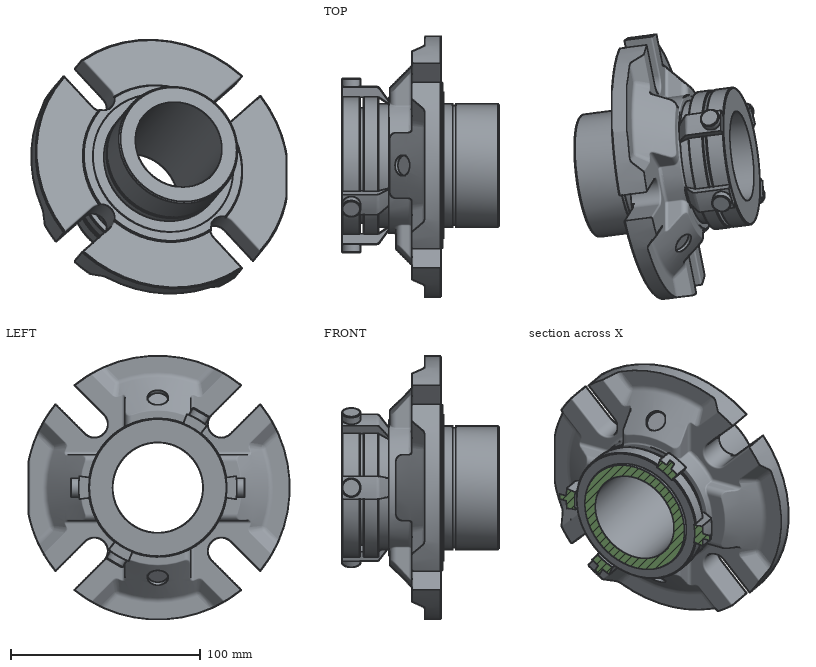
import cadquery as cq
import math


sleeve_length = 83.16
sleeve_radius = 65.4 / 2
bore_radius = 47.62 / 2
sleeve_end_chamfer = 0.8
tail_groove_start, tail_groove_end = 58.6, 60.2
tail_groove_radius = 63.51 / 2

ring_radius = 73.3 / 2
ring_chamfer = 0.5
lock_ring_end = 9.7
second_ring_start, second_ring_end = 11.4, 19.5
ring_gap_radius = 61.01 / 2

flange_radius = 139.45 / 2
flange_back = 52.5
ear_front = 37.0
pocket_floor = 43.8
back_edge_chamfer = 0.6
flat_distance = 138.08 - flange_radius
flat_bevel_radial = 1.0
flat_bevel_axial = 0.3

register_radius = 43.9
register_end = 53.4
register_chamfer = 0.5
spigot_radius = 77.19 / 2
spigot_end = 53.9

hub_front = 24.8
hub_radius = 35.8
hub_edge_fillet = 0.4
cone_offset = 15.6

block_front = 25.3
short_block_front = 28.6
block_fronts = {0: block_front, 90: block_front, 180: short_block_front, 270: block_front}
block_half_width = 17.4
block_edge_fillet = 3.5
block_root_fillet = 1.7
block_hub_fillet = 0.8
block_rim_fillet = 0.8

ear_half_width_front = 17.8
ear_half_width_floor = 24.0
pocket_fillet = 3.6

slot_half_width = 7.05
slot_centre_radius = 47.4
slot_edge_fillet = 0.9
slot_angles = (45, 135, 225, 315)

port_diameter = 11.0
port_centre_x = 32.0
port_depth = 2.2
port_angles = (90, 270)

clip_angles = (0, 120, 180, 300)
clip_inner_radius = 36.4
clip_outer_radius = 41.8
clip_bend_x = 19.3
clip_bend_fillet = 2.0
clip_tip_inner_radius = 32.6
clip_tip_outer_radius = 34.2
clip_outer_width = 12.2
screw_diameter = 10.0
screw_head_radius = 46.0
screw_head_chamfer = 0.4

overshoot = 5.0
clearance_radius = flange_radius + overshoot
margin = 1.0
tolerance = 0.01


def cone_radius(x):
    return x + cone_offset


def revolved(points, degrees=360):
    """Revolve a closed (x, radius) outline about the X axis, starting at +Y."""
    return cq.Workplane("XY").polyline(points).close().revolve(degrees, (0, 0, 0), (1, 0, 0))


def cylinder(radius, start, end):
    return cq.Workplane("YZ").workplane(offset=start).circle(radius).extrude(end - start)


def turned(shape, angle):
    """Turn a shape about X; 0 degrees is +Y and 90 degrees is +Z."""
    return shape.rotate((0, 0, 0), (1, 0, 0), angle)


def make_sleeve():
    lock_ring = cylinder(ring_radius, 0, lock_ring_end).edges().chamfer(ring_chamfer)
    second_ring = cylinder(ring_radius, second_ring_start, second_ring_end)
    second_ring = second_ring.edges().chamfer(ring_chamfer)
    front = cylinder(ring_gap_radius, 0, second_ring_end)
    body = cylinder(sleeve_radius, second_ring_start, tail_groove_start)
    groove = cylinder(tail_groove_radius, tail_groove_start, tail_groove_end)
    tail = cylinder(sleeve_radius, tail_groove_end, sleeve_length)
    tail = tail.faces(">X").edges().chamfer(sleeve_end_chamfer)
    return front.union(lock_ring).union(second_ring).union(body).union(groove).union(tail)


def pocket_triangle(half_width):
    """Corners of the 90 degree opening between two ears, pointing along +Y."""
    apex = half_width * math.sqrt(2)
    reach = flange_radius
    return [(apex, 0), (apex + reach, reach), (apex + reach, -reach)]


def distance_from_axis(edge):
    middle = edge.positionAt(0.5)
    return math.hypot(middle.y, middle.z)


def make_pocket():
    """Space between two ears, bounded by sloping ear sides, the pocket floor and the cone."""
    start = hub_front - margin
    ear_slope = (ear_half_width_floor - ear_half_width_front) / (pocket_floor - ear_front)
    start_half_width = ear_half_width_floor - ear_slope * (pocket_floor - start)
    sector = (
        cq.Workplane("YZ")
        .workplane(offset=start)
        .polyline(pocket_triangle(start_half_width))
        .close()
        .workplane(offset=pocket_floor - start)
        .polyline(pocket_triangle(ear_half_width_floor))
        .close()
        .loft(ruled=True)
    )
    ring = revolved([
        (start, cone_radius(start)),
        (pocket_floor, cone_radius(pocket_floor)),
        (pocket_floor, clearance_radius),
        (start, clearance_radius),
    ])

    def is_inside_corner(edge):
        return edge.Center().x > start + margin and distance_from_axis(edge) < clearance_radius - margin

    pocket = sector.intersect(ring)
    return pocket.newObject(pocket.edges().filter(is_inside_corner).vals()).fillet(pocket_fillet)


def make_slab(front):
    """Slab along +Y with rounded front edges; it sets the sides of one port block."""
    return (
        cq.Workplane("XY")
        .box(ear_front - front, clearance_radius, 2 * block_half_width, centered=(False, False, True))
        .translate((front, 0, 0))
        .faces("<X")
        .edges("|Y")
        .fillet(block_edge_fillet)
    )


def make_hub():
    return cylinder(hub_radius, hub_front, ear_front).faces("<X").edges().fillet(hub_edge_fillet)


def make_corner_space():
    """Open space ahead of the ears, around the hub and between the port blocks."""
    space = cylinder(clearance_radius, hub_front, ear_front).cut(make_hub())
    for angle, front in block_fronts.items():
        space = space.cut(turned(make_slab(front), angle))

    def is_hub_corner(edge):
        middle = edge.positionAt(0.5)
        on_wall = abs(min(abs(middle.y), abs(middle.z)) - block_half_width) < tolerance
        return on_wall and abs(distance_from_axis(edge) - hub_radius) < tolerance

    space = space.newObject(space.edges("|X").filter(is_hub_corner).vals()).fillet(block_hub_fillet)

    def is_root(edge):
        return distance_from_axis(edge) < clearance_radius - margin

    return space.newObject(space.faces(">X").edges().filter(is_root).vals()).fillet(block_root_fillet)


def make_slot():
    length = clearance_radius - slot_centre_radius
    straight = (
        cq.Workplane("YZ")
        .workplane(offset=ear_front)
        .center(slot_centre_radius + length / 2, 0)
        .rect(length, 2 * slot_half_width)
        .extrude(spigot_end - ear_front)
    )
    end = cylinder(slot_half_width, ear_front, spigot_end).translate((0, slot_centre_radius, 0))
    return straight.union(end)


def cut_flat(flange):
    """Flat on the +Y side of the flange rim with a shallow bevel on its front edge."""
    cutter = (
        cq.Workplane("XY")
        .polyline([
            (pocket_floor, flat_distance - flat_bevel_radial),
            (pocket_floor + flat_bevel_axial, flat_distance),
            (flange_back, flat_distance),
            (flange_back, clearance_radius),
            (pocket_floor, clearance_radius),
        ])
        .close()
        .extrude(flange_radius / 2, both=True)
    )
    return flange.cut(cutter)


def round_block_rims(flange):
    """Round the edges where the conical faces meet the fronts and sides of the blocks."""
    def is_rim(edge):
        x = edge.positionAt(0.5).x
        on_cone = abs(distance_from_axis(edge) - cone_radius(x)) < tolerance
        return on_cone and x < ear_front - block_root_fillet

    return flange.newObject(flange.edges().filter(is_rim).vals()).fillet(block_rim_fillet)


def make_flange():
    flange = revolved([
        (hub_front, 0),
        (hub_front, flange_radius),
        (flange_back - back_edge_chamfer, flange_radius),
        (flange_back, flange_radius - back_edge_chamfer),
        (flange_back, 0),
    ])
    pocket = make_pocket()
    for angle in block_fronts:
        flange = flange.cut(turned(pocket, angle))
    flange = round_block_rims(flange.cut(make_corner_space()))
    return cut_flat(flange).union(make_register())


def cut_slots(flange):
    """Cut the bolt slots and round their edges on the front and back faces."""
    slot = make_slot()
    for angle in slot_angles:
        flange = flange.cut(turned(slot, angle))

    def is_slot_edge(edge):
        middle = edge.positionAt(0.5)
        along = (abs(middle.y) + abs(middle.z)) / math.sqrt(2)
        across = abs(abs(middle.y) - abs(middle.z)) / math.sqrt(2)
        is_side = along > slot_centre_radius and abs(across - slot_half_width) < tolerance
        is_end = abs(along - slot_centre_radius + slot_half_width) < tolerance
        is_face_edge = min(abs(middle.x - ear_front), abs(middle.x - flange_back)) < tolerance
        return is_face_edge and (is_side or is_end)

    return flange.newObject(flange.edges().filter(is_slot_edge).vals()).fillet(slot_edge_fillet)


def cut_ports(flange):
    """Blind holes drilled at 45 degrees, square to the conical faces of the blocks."""
    inward = cq.Vector(1, -1, 0).normalized()
    mouth = cq.Vector(port_centre_x, cone_radius(port_centre_x), 0)
    drill = cq.Workplane(cq.Solid.makeCylinder(
        port_diameter / 2, overshoot + port_depth, mouth - inward * overshoot, inward
    ))
    for angle in port_angles:
        flange = flange.cut(turned(drill, angle))
    return flange


def make_register():
    step = cylinder(register_radius, flange_back, register_end)
    step = step.faces(">X").edges().chamfer(register_chamfer)
    return step.union(cylinder(spigot_radius, flange_back, spigot_end))


def make_clip():
    """Setting clip on +Y: a bent bar with radial sides, and the screw head on it."""
    half_angle = math.degrees(math.asin(clip_outer_width / 2 / clip_outer_radius))
    bar = revolved([
        (0, clip_inner_radius),
        (0, clip_outer_radius),
        (clip_bend_x, clip_outer_radius),
        (hub_front, clip_tip_outer_radius),
        (hub_front, clip_tip_inner_radius),
        (clip_bend_x, clip_inner_radius),
    ], 2 * half_angle)
    bar = turned(bar, -half_angle)
    bend = cq.selectors.BoxSelector(
        (clip_bend_x - margin, clip_outer_radius - margin, -margin),
        (clip_bend_x + margin, clip_outer_radius + margin, margin),
    )
    bar = bar.edges(bend).fillet(clip_bend_fillet)
    screw = (
        cq.Workplane("XZ", origin=(screw_diameter / 2, ring_radius, 0))
        .circle(screw_diameter / 2)
        .extrude(ring_radius - screw_head_radius)
        .faces(">Y")
        .edges()
        .chamfer(screw_head_chamfer)
    )
    return bar.union(screw)


flange = cut_ports(cut_slots(make_flange()))
result = make_sleeve().union(flange)
clip = make_clip()
for clip_angle in clip_angles:
    result = result.union(turned(clip, clip_angle))
result = result.cut(cylinder(bore_radius, 0, sleeve_length))